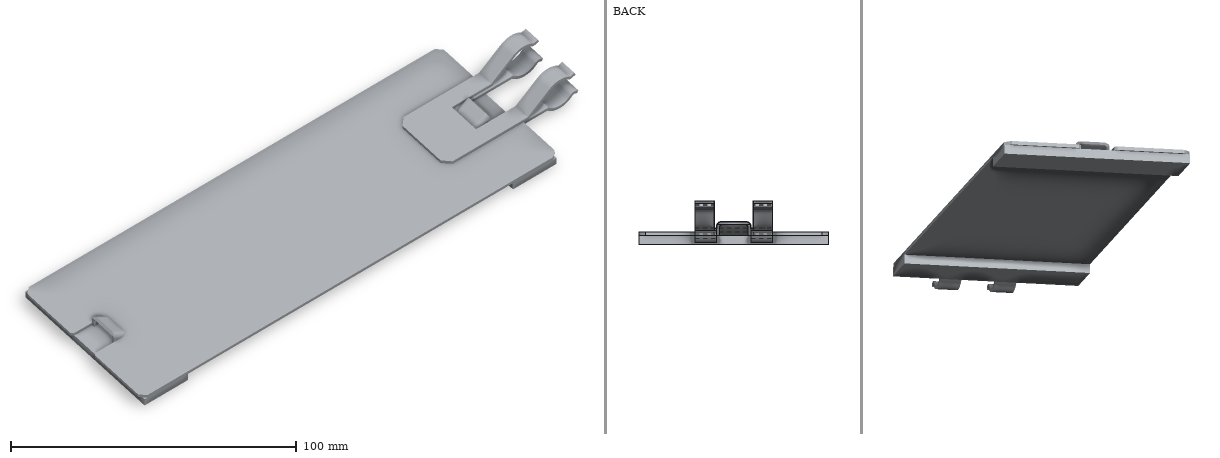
import cadquery as cq
import math

overall_length = 212.0
sheet = 1.3

pad_width = 66.5
pad_length = 19.5
pad_height = 3.2
pad_inset = 1.0

plate_width = pad_width
plate_length = 187.5
plate_corner = 2.3
plate_bottom = pad_height
plate_top = plate_bottom + sheet

notch_width = 12.0
notch_depth = 9.1
notch_mouth_chamfer = 0.8
louver_rise = 3.5
louver_angle = math.radians(33)
louver_side_radius = 2.0
louver_wall = 1.0

clip_width = 27.4
clip_front = 152.5
clip_corner = 3.0
clip_slot_width = 13.5
clip_slot_front = 171.5
clip_top = plate_top + sheet

arm_slope = math.radians(38.8)
arm_radius = 7.5
upper_arm = {
    "side": 1,
    "start": clip_front,
    "level": clip_top,
    "bend": 189.4,
    "extreme": 15.3,
    "back_slope": math.radians(34),
    "kink": 208.5,
    "lip_slope": math.radians(20),
    "lip_radius": 0.6,
    "tip": 210.8,
}
lower_arm = {
    "side": -1,
    "start": plate_length - plate_corner,
    "level": plate_bottom,
    "bend": 198.0,
    "extreme": 0.75,
    "back_slope": math.radians(46),
    "kink": 210.0,
    "lip_slope": math.radians(25),
    "lip_radius": 1.3,
    "tip": overall_length,
}


def arm_face(arm):
    """Points (Y, Z) along an arm's outer face: flat, slope, corner, slope back, lip.

    The corner is where the two tangents of the large curve meet.
    """
    side = arm["side"]
    half_turn = (arm_slope + arm["back_slope"]) / 2
    lean = (arm["back_slope"] - arm_slope) / 2
    corner_reach = arm_radius / math.cos(half_turn)
    corner_height = abs(arm["extreme"] - arm["level"]) - arm_radius + corner_reach * math.cos(lean)
    corner_y = arm["bend"] + corner_height / math.tan(arm_slope)
    corner_z = arm["level"] + side * corner_height
    kink_z = corner_z - side * (arm["kink"] - corner_y) * math.tan(arm["back_slope"])
    lip_y = arm["tip"] - sheet * math.sin(arm["lip_slope"])
    lip_z = kink_z + side * (lip_y - arm["kink"]) * math.tan(arm["lip_slope"])
    return [
        (arm["start"], arm["level"]),
        (arm["bend"], arm["level"]),
        (corner_y, corner_z),
        (arm["kink"], kink_z),
        (lip_y, lip_z),
    ]


def offset_face(points, distance):
    """The points of a parallel polyline, to the left of the direction of travel if distance > 0."""
    headings = [math.atan2(q[1] - p[1], q[0] - p[0]) for p, q in zip(points, points[1:])]
    shifted = []
    for (y, z), before, after in zip(points, headings[:1] + headings, headings + headings[-1:]):
        normal = (before + after + math.pi) / 2
        reach = distance / math.cos((after - before) / 2)
        shifted.append((y + reach * math.cos(normal), z + reach * math.sin(normal)))
    return shifted


def bent_strip(arm):
    """A strip of sheet along an arm, as wide as the clip and centred on X = 0."""
    outer_face = arm_face(arm)
    inner_face = offset_face(outer_face, -arm["side"] * sheet)
    strip = (
        cq.Workplane("YZ")
        .polyline(outer_face + inner_face[::-1])
        .close()
        .extrude(clip_width / 2, both=True)
    )
    corner, kink = 2, 3
    roundings = [
        (outer_face[corner], arm_radius),
        (inner_face[corner], arm_radius - sheet),
        (outer_face[kink], arm["lip_radius"]),
        (inner_face[kink], arm["lip_radius"] + sheet),
    ]
    for point, radius in roundings:
        edge = cq.selectors.NearestToPointSelector((0, *point))
        strip = strip.edges("|X").edges(edge).fillet(radius)
    return strip


def box(width, y_from, y_to, z_from, z_to):
    """A block centred on X = 0."""
    size = (width, y_to - y_from, z_to - z_from)
    return cq.Workplane("XY").box(*size, centered=(True, False, False)).translate((0, y_from, z_from))


def make_pad(y_front):
    return box(pad_width, y_front, y_front + pad_length, 0, pad_height)


def louver_wedge(width, front_points, side_radius):
    """A wedge on the plate's underside, its front through the points (Y, Z) from the bottom up.

    From the last of these points the roof falls to the plate's underside, with rounded sides.
    """
    roof_y, roof_z = front_points[-1]
    foot_y = roof_y + (roof_z - plate_bottom) / math.tan(louver_angle)
    outline = front_points + [(foot_y, plate_bottom)]
    wedge = cq.Workplane("YZ").polyline(outline).close().extrude(width / 2, both=True)
    roof_middle = (0, (roof_y + foot_y) / 2, (roof_z + plate_bottom) / 2)
    roof = wedge.faces(cq.selectors.NearestToPointSelector(roof_middle))
    return roof.edges("not |X").fillet(side_radius)


def make_louver():
    """The outer body and the hollow of the louver at the front; the roof's end is square to its slope."""
    mouth = (notch_depth, plate_bottom)
    roof_top = (notch_depth + sheet * math.sin(louver_angle), plate_top + louver_rise)
    roof_lip = (notch_depth, roof_top[1] - sheet * math.cos(louver_angle))
    body = louver_wedge(notch_width, [mouth, roof_lip, roof_top], louver_side_radius)
    hollow_width = notch_width - 2 * louver_wall
    hollow = louver_wedge(hollow_width, [mouth, roof_lip], louver_side_radius - louver_wall)
    return body, hollow


def at_back(shape):
    """The mirror image of a front-end shape at the plate's back end."""
    return shape.mirror("XZ", (0, plate_length / 2, 0))


def make_plate():
    plate = box(plate_width, 0, plate_length, plate_bottom, plate_top)
    plate = plate.edges("|Z").chamfer(plate_corner)

    plate = plate.union(bent_strip(lower_arm))
    notch_end = plate_length - notch_depth
    plate = plate.cut(box(notch_width, notch_end, overall_length, 0, upper_arm["extreme"]))

    plate = plate.cut(box(notch_width, 0, notch_depth, plate_bottom, plate_top))
    mouth = cq.selectors.BoxSelector((-notch_width, -sheet, 0), (notch_width, sheet, plate_top))
    plate = plate.edges("|Z").edges(mouth).chamfer(notch_mouth_chamfer)

    body, hollow = make_louver()
    return plate.union(body).cut(hollow).union(at_back(body)).cut(at_back(hollow))


def make_clip():
    clip = bent_strip(upper_arm)
    clip = clip.faces("<Y").edges("|Z").chamfer(clip_corner)
    return clip.cut(box(clip_slot_width, clip_slot_front, overall_length, 0, upper_arm["extreme"]))


pad_fronts = [pad_inset, plate_length - pad_inset - pad_length]
pads = [make_pad(y_front) for y_front in pad_fronts]
plate = make_plate()
clip = make_clip()

result = cq.Compound.makeCompound([plate.val(), clip.val(), *[pad.val() for pad in pads]])